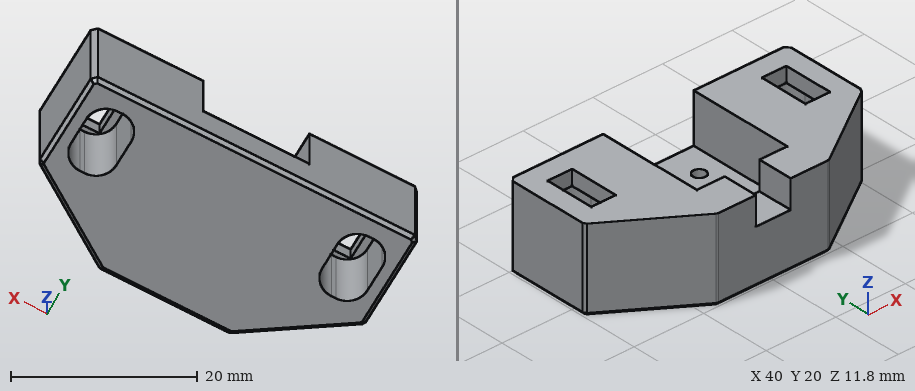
import cadquery as cq

LENGTH = 40.0
WIDTH = 20.0
HEIGHT = 11.8
FRONT_FACE_LENGTH = 16.0
SIDE_TAPER_WIDTH = 8.0
BACK_CORNER_CHAMFER = 0.55
SIDE_CORNER_CHAMFER = 0.3
FRONT_CORNER_CHAMFER = 0.15
BOTTOM_CHAMFER = 0.5

RECESS_LENGTH = 13.0
FRONT_WALL = 5.0
RECESS_DEPTH = 7.0
NOTCH_LENGTH = 5.0
NOTCH_DEPTH = 4.0

HOLE_DIAMETER = 1.8
HOLE_SPACING = 6.5
HOLE_Y = 15.45
HOLE_DEPTH = 3.2

SLOT_LENGTH = 3.5
SLOT_WIDTH = 7.0
SLOT_SPACING = 30.8
SLOT_Y = 13.5
SLOT_LIP = 2.15
POCKET_MARGIN_X = 1.0
POCKET_MARGIN_Y = 0.6
POCKET_CORNER_RADIUS = 2.5


def make_body():
    """Tapered plate with bevelled upright corners and a chamfered bottom edge."""
    half_length = LENGTH / 2
    half_front = FRONT_FACE_LENGTH / 2
    outline = [
        (-half_front, 0),
        (half_front, 0),
        (half_length, SIDE_TAPER_WIDTH),
        (half_length, WIDTH),
        (-half_length, WIDTH),
        (-half_length, SIDE_TAPER_WIDTH),
    ]
    body = cq.Workplane("XY").polyline(outline).close().extrude(HEIGHT)
    upright_edges = [
        (WIDTH, half_length, BACK_CORNER_CHAMFER),
        (SIDE_TAPER_WIDTH, half_length, SIDE_CORNER_CHAMFER),
        (0, half_front, FRONT_CORNER_CHAMFER),
    ]
    for y, x, size in upright_edges:
        for side in (-1, 1):
            corner = cq.selectors.NearestToPointSelector((side * x, y, HEIGHT / 2))
            body = body.edges("|Z").edges(corner).chamfer(size)
    return body.faces("<Z").edges().chamfer(BOTTOM_CHAMFER)


def cut_block(length, y_start, y_end, z_start, z_end, x_center=0.0):
    """Rectangular cutter spanning the given Y and Z ranges."""
    return (
        cq.Workplane("XY", origin=(x_center, (y_start + y_end) / 2, z_start))
        .rect(length, y_end - y_start)
        .extrude(z_end - z_start)
    )


def make_slot(x_center):
    """Through slot with its wider pocket opening on the bottom face."""
    slot = cut_block(SLOT_LENGTH, SLOT_Y - SLOT_WIDTH / 2, SLOT_Y + SLOT_WIDTH / 2, 0, HEIGHT, x_center)
    pocket = (
        cq.Workplane("XY", origin=(x_center, SLOT_Y, 0))
        .rect(SLOT_LENGTH + 2 * POCKET_MARGIN_X, SLOT_WIDTH + 2 * POCKET_MARGIN_Y)
        .extrude(HEIGHT - SLOT_LIP)
        .edges("|Z")
        .fillet(POCKET_CORNER_RADIUS)
    )
    return slot.union(pocket)


recess_floor = HEIGHT - RECESS_DEPTH
recess = cut_block(RECESS_LENGTH, FRONT_WALL, WIDTH, recess_floor, HEIGHT)
notch = cut_block(NOTCH_LENGTH, 0, FRONT_WALL, HEIGHT - NOTCH_DEPTH, HEIGHT)

result = make_body().cut(recess).cut(notch)

for side in (-1, 1):
    result = result.cut(make_slot(side * SLOT_SPACING / 2))
    hole = (
        cq.Workplane("XY", origin=(side * HOLE_SPACING / 2, HOLE_Y, recess_floor))
        .circle(HOLE_DIAMETER / 2)
        .extrude(-HOLE_DEPTH)
    )
    result = result.cut(hole)